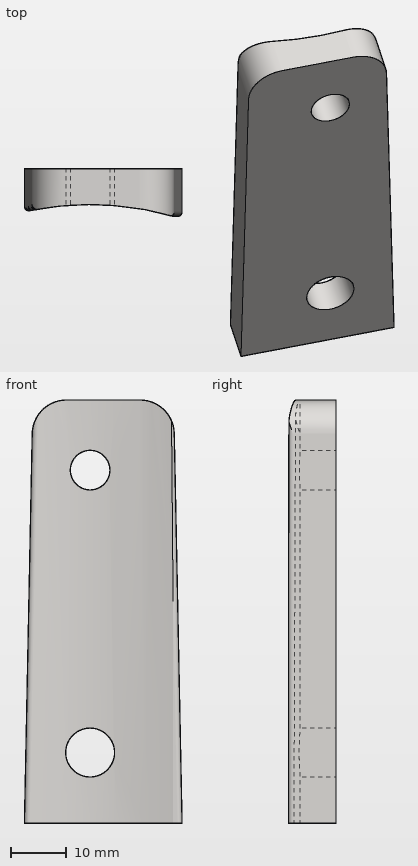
import cadquery as cq

height = 76.2
base_width = 28.4
top_width = 25.4
depth = 8.6
corner_radius = 6.25
edge_radius = 0.85

hole_x = -2.4
crest_depth = 6.5
hollow_end_x = 12.6

holes = [(12.7, 8.8), (63.55, 7.1)]


def tapered_blank():
    """Plate with straight, slightly converging sides and a flat front."""
    outline = [
        (-base_width / 2, 0),
        (base_width / 2, 0),
        (top_width / 2, height),
        (-top_width / 2, height),
    ]
    return cq.Workplane("XZ").polyline(outline).close().extrude(depth)


def hollow():
    """Cylinder tool touching the crest line and running out at the flat strip."""
    half_chord = hollow_end_x - hole_x
    rise = depth - crest_depth
    radius = (half_chord**2 + rise**2) / (2 * rise)
    axis_y = -crest_depth - radius
    return cq.Workplane("XY").center(hole_x, axis_y).circle(radius).extrude(height)


def front_side_edge(body, side):
    """Long front edge on the +X (side = 1) or -X (side = -1) flank."""
    mean_half_width = (base_width + top_width) / 4
    target = cq.Vector(side * mean_half_width, -depth, height / 2)
    return body.edges(cq.selectors.NearestToPointSelector(target.toTuple()))


def through_hole(z, diameter):
    return cq.Workplane("XZ").center(hole_x, z).circle(diameter / 2).extrude(depth)


body = front_side_edge(tapered_blank(), 1).fillet(edge_radius)
body = body.cut(hollow())
body = front_side_edge(body, -1).fillet(edge_radius)

rounded_outline = tapered_blank().edges("|Y and >Z").fillet(corner_radius)
body = body.intersect(rounded_outline)

for hole_z, hole_diameter in holes:
    body = body.cut(through_hole(hole_z, hole_diameter))

result = body